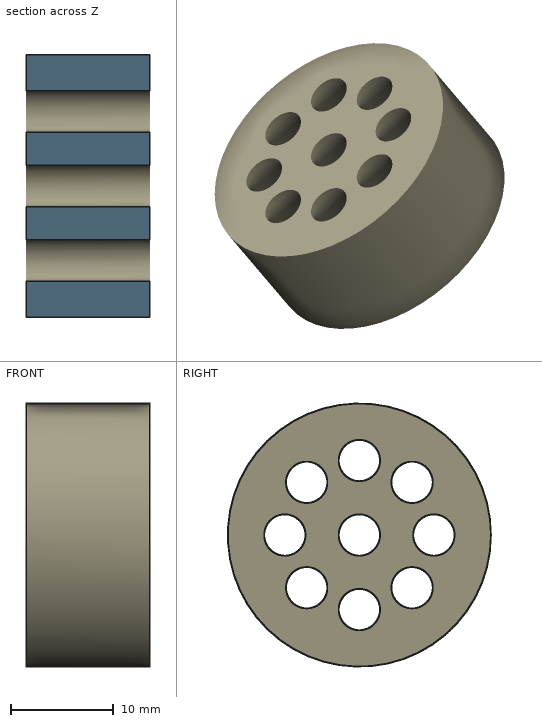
import cadquery as cq

outer_diameter = 25.6
thickness = 12.0
hole_diameter = 4.0
ring_radius = 7.25
ring_hole_count = 8

disc = cq.Workplane("YZ").circle(outer_diameter / 2).extrude(thickness)

drilled = disc.faces("<X").workplane(centerOption="CenterOfMass").hole(hole_diameter)
result = (
    drilled.faces("<X")
    .workplane(centerOption="CenterOfMass")
    .polarArray(ring_radius, 0, 360, ring_hole_count)
    .hole(hole_diameter)
)